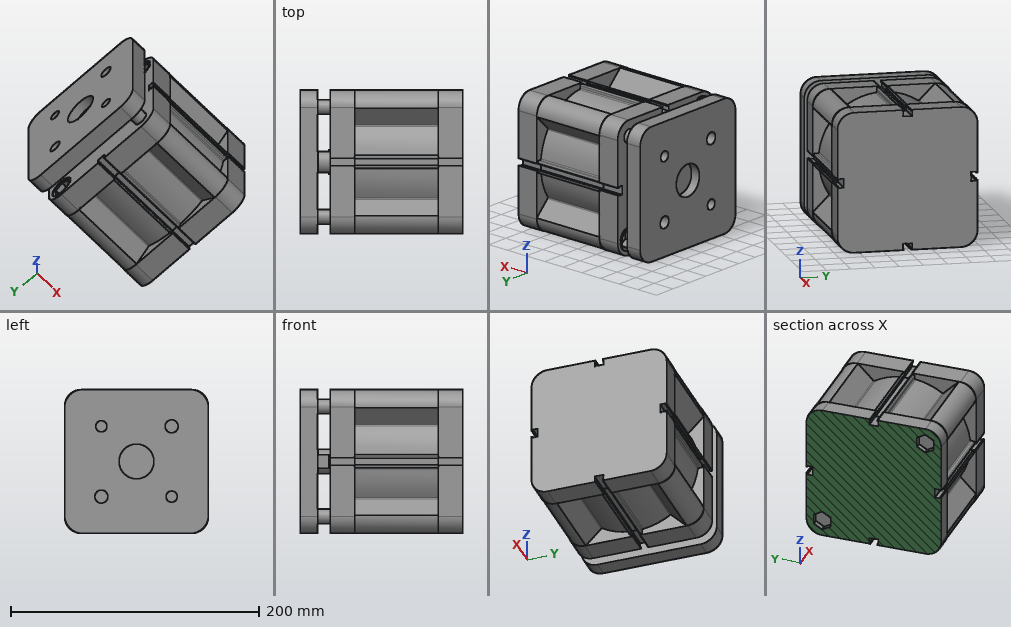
import cadquery as cq
import math

total_length = 131.0
width = 116.0
half_width = width / 2
corner_radius = 13.8
corner_offset = half_width - corner_radius

plate_thickness = 14.0
plate_recess_diameter = 28.0
plate_recess_depth = 8.5
plate_hole_offset = 28.3
small_hole_diameter = 9.0
large_hole_diameter = 10.5

housing_start = 24.1
cap_length = 19.8
barrel_start = housing_start + cap_length
barrel_end = total_length - cap_length
barrel_radius = 53.2
post_corner_radius = 14.7
post_foot_fillet = 0.9

rail_width = 10.5
rail_top = 57.0
rail_edge_radius = 1.0
rail_foot_fillet = 0.9
cap_slot_floor = 52.7
cap_slot_mouth_width = 6.2
cap_slot_channel_width = 7.5
cap_slot_lip_bottom = 56.9
rail_slot_floor = 52.9
rail_slot_mouth_width = 5.4
rail_slot_channel_width = 6.8
rail_slot_lip_bottom = 55.7
rail_slot_edge_radius = 0.4

screw_recess_diameter = 20.0
screw_recess_depth = 0.9
socket_across_flats = 14.0
socket_depth = 9.2

rod_diameter = 20.0
rod_flat_width = 17.0
rod_flat_length = 9.2
rod_chamfer = 0.5
guide_rod_diameter = 11.9

SIDE_ANGLES = (0, 90, 180, 270)


def profile_at(x):
    """Sketch plane across the axis: local x is Y, local y is Z, extruding toward +X."""
    return cq.Workplane("YZ", origin=(x, 0, 0))


def on_all_sides(one_side):
    """The same shape on each of the four sides of the housing."""
    whole = one_side
    for angle in SIDE_ANGLES[1:]:
        whole = whole.union(one_side.rotate((0, 0, 0), (1, 0, 0), angle))
    return whole


def rounded_block(start, length):
    block = profile_at(start).rect(width, width).extrude(length)
    return block.edges("|X").fillet(corner_radius)


def make_plate():
    plate = rounded_block(0, plate_thickness)
    recess = profile_at(0).circle(plate_recess_diameter / 2).extrude(plate_recess_depth)
    plate = plate.cut(recess)
    offset = plate_hole_offset
    small_places = [(offset, offset), (-offset, -offset)]
    large_places = [(-offset, offset), (offset, -offset)]
    for diameter, places in (
        (small_hole_diameter, small_places),
        (large_hole_diameter, large_places),
    ):
        holes = profile_at(0).pushPoints(places).circle(diameter / 2).extrude(plate_thickness)
        plate = plate.cut(holes)
    return plate


def make_slot(start, end, slot_floor, mouth_width, channel_width, lip_bottom):
    """T-slot open toward +Z: a mouth between two lips and a wider channel below."""
    length = end - start
    mouth_height = half_width - slot_floor
    channel_height = lip_bottom - slot_floor
    floor = profile_at(start).center(0, slot_floor)
    mouth = floor.rect(mouth_width, 2 * mouth_height).extrude(length)
    channel = floor.rect(channel_width, 2 * channel_height).extrude(length)
    below_floor = floor.center(0, -half_width / 2).rect(width, half_width).extrude(length)
    return mouth.union(channel).cut(below_floor)


def make_cap(start):
    cap = rounded_block(start, cap_length)
    slot = make_slot(
        start,
        start + cap_length,
        cap_slot_floor,
        cap_slot_mouth_width,
        cap_slot_channel_width,
        cap_slot_lip_bottom,
    )
    return cap.cut(on_all_sides(slot))


def barrel_side_profile():
    """Outline of the +Z quarter of the barrel, between two corner diagonals.

    Also gives the (y, z) of the post foot and of the rail foot.
    """
    flank_start = half_width - post_corner_radius
    flank_rise = post_corner_radius
    foot_y = (math.sqrt(2 * barrel_radius**2 - flank_rise**2) - flank_rise) / 2
    foot_z = foot_y + flank_rise
    rail_side = rail_width / 2
    rail_foot_z = math.sqrt(barrel_radius**2 - rail_side**2)
    middle_angle = (math.atan2(foot_z, foot_y) + math.atan2(rail_foot_z, rail_side)) / 2
    arc_y = barrel_radius * math.cos(middle_angle)
    arc_z = barrel_radius * math.sin(middle_angle)
    diagonal = flank_start + post_corner_radius * math.sqrt(0.5)
    round_middle = math.radians((45 + 90) / 2)
    round_y = flank_start + post_corner_radius * math.cos(round_middle)
    round_z = flank_start + post_corner_radius * math.sin(round_middle)
    outline = (
        profile_at(barrel_start)
        .moveTo(0, 0)
        .lineTo(diagonal, diagonal)
        .threePointArc((round_y, round_z), (flank_start, half_width))
        .lineTo(foot_y, foot_z)
        .threePointArc((arc_y, arc_z), (rail_side, rail_foot_z))
        .lineTo(rail_side, rail_top)
        .lineTo(-rail_side, rail_top)
        .lineTo(-rail_side, rail_foot_z)
        .threePointArc((-arc_y, arc_z), (-foot_y, foot_z))
        .lineTo(-flank_start, half_width)
        .threePointArc((-round_y, round_z), (-diagonal, diagonal))
        .close()
    )
    return outline, (foot_y, foot_z), (rail_side, rail_foot_z)


def edges_at(y, z):
    """Selector for the two lengthwise edges at (+y, z) and (-y, z)."""
    tolerance = 0.1
    boxes = [
        cq.selectors.BoxSelector(
            (barrel_start, side * y - tolerance, z - tolerance),
            (barrel_end, side * y + tolerance, z + tolerance),
        )
        for side in (1, -1)
    ]
    return boxes[0] + boxes[1]


def make_barrel():
    outline, post_foot, rail_foot = barrel_side_profile()
    side = outline.extrude(barrel_end - barrel_start)
    side = side.edges(edges_at(*post_foot)).fillet(post_foot_fillet)
    side = side.edges(edges_at(*rail_foot)).fillet(rail_foot_fillet)
    side = side.edges(edges_at(rail_width / 2, rail_top)).fillet(rail_edge_radius)
    slot = make_slot(
        barrel_start,
        barrel_end,
        rail_slot_floor,
        rail_slot_mouth_width,
        rail_slot_channel_width,
        rail_slot_lip_bottom,
    )
    side = side.cut(slot)
    side = side.edges(edges_at(rail_slot_mouth_width / 2, rail_top)).fillet(rail_slot_edge_radius)
    return on_all_sides(side)


def cut_cap_screws(cap):
    places = [(-corner_offset, corner_offset), (corner_offset, -corner_offset)]
    recesses = (
        profile_at(housing_start)
        .pushPoints(places)
        .circle(screw_recess_diameter / 2)
        .extrude(screw_recess_depth)
    )
    half_sixth_turn = 30
    socket_diameter = socket_across_flats / math.cos(math.radians(half_sixth_turn))
    socket = (
        profile_at(housing_start)
        .polygon(6, socket_diameter)
        .extrude(screw_recess_depth + socket_depth)
        .rotate((0, 0, 0), (1, 0, 0), half_sixth_turn)
    )
    cap = cap.cut(recesses)
    for y, z in places:
        cap = cap.cut(socket.translate((0, y, z)))
    return cap


def make_housing():
    front_cap = cut_cap_screws(make_cap(housing_start))
    rear_cap = make_cap(barrel_end)
    return front_cap.union(make_barrel()).union(rear_cap)


def make_piston_rod():
    length = housing_start - plate_thickness
    rod = profile_at(plate_thickness).circle(rod_diameter / 2).extrude(length)
    rod = rod.faces("<X").chamfer(rod_chamfer)
    for side in (1, -1):
        chord = (
            profile_at(plate_thickness)
            .center(side * (rod_flat_width + rod_diameter) / 2, 0)
            .rect(rod_diameter, 2 * rod_diameter)
            .extrude(rod_flat_length)
        )
        rod = rod.cut(chord)
    return rod


def make_guide_rod(y, z):
    length = housing_start - plate_thickness
    return profile_at(plate_thickness).center(y, z).circle(guide_rod_diameter / 2).extrude(length)


plate = make_plate()
housing = make_housing()
piston_rod = make_piston_rod()
guide_rods = [make_guide_rod(side * corner_offset, side * corner_offset) for side in (1, -1)]

result = cq.Compound.makeCompound(
    [plate.val(), housing.val(), piston_rod.val(), *[rod.val() for rod in guide_rods]]
)